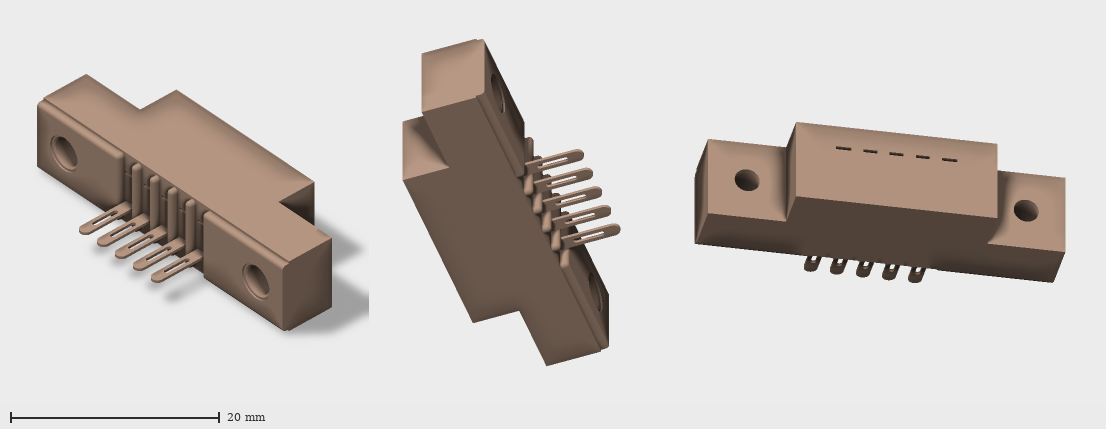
import cadquery as cq


length = 34.92
height = 8.38
flange_depth = 5.55
nose_length = 19.65
nose_depth = 4.7
housing_depth = flange_depth + nose_depth

raised_depth = 0.85
raised_height = 7.9
pad_length = 11.52
pad_round = 0.42
rib_width = 0.8
rib_radius = rib_width / 2

terminal_count = 5
terminal_pitch = 2.55
terminal_width = 1.3
terminal_thickness = 0.3
terminal_embedment = flange_depth
slit_width = 1.35
row_height = 1.78
terminal_reach = 6.43
eye_width = 0.52
eye_length = 3.18
eye_start = 1.68

mount_spacing = 27.27
insert_diameter = 3.9
insert_recess = 0.2
lead_in_diameter = 3.45
step_diameter = 3.15
bore_diameter = 2.45
step_depth = 1.5

pad_face = -raised_depth
insert_face = pad_face + insert_recess
step_face = insert_face + step_depth
terminal_places = [(i - (terminal_count - 1) / 2) * terminal_pitch for i in range(terminal_count)]
rib_places = [(left + right) / 2 for left, right in zip(terminal_places, terminal_places[1:])]
mount_places = [-mount_spacing / 2, mount_spacing / 2]


def block(x_size, y_size, z_size, x_center, y_start, z_center):
    """Box centred in X and Z that grows towards +Y from y_start."""
    center = (x_center, y_start + y_size / 2, z_center)
    return cq.Workplane("XY").box(x_size, y_size, z_size).translate(center)


def make_pad(side):
    """Mounting pad flush with one end of the housing, rounded elsewhere; side is -1 or +1."""
    inner_face = "<X" if side > 0 else ">X"
    pad = block(pad_length, raised_depth, raised_height, side * (length - pad_length) / 2, pad_face, 0)
    return pad.edges(f"(<Y and (<Z or >Z)) or {inner_face}").edges("not >Y").fillet(pad_round)


def make_rib(x):
    """Upright rib with a fully rounded crest and ball ends."""
    crest_depth = raised_depth - rib_radius
    ball_height = raised_height / 2 - rib_radius
    rib = cq.Workplane("XZ").slot2D(raised_height, rib_width, 90).extrude(crest_depth)
    crest = cq.Workplane("XY").circle(rib_radius).extrude(ball_height, both=True)
    for z in (-ball_height, ball_height):
        crest = crest.union(cq.Workplane("XY").sphere(rib_radius).translate((0, 0, z)))
    rib = rib.union(crest.translate((0, -crest_depth, 0)))
    return rib.translate((x, 0, 0))


def make_slit_row(z, depth):
    """Row of terminal slits; the end slits widen outwards to meet the pads."""
    pad_edge = length / 2 - pad_length
    row = cq.Workplane("XY")
    for x in terminal_places:
        left = x - slit_width / 2
        right = x + slit_width / 2
        if x == terminal_places[0]:
            left = -pad_edge
        if x == terminal_places[-1]:
            right = pad_edge
        row = row.add(block(right - left, depth, terminal_thickness, (left + right) / 2, 0, z))
    return row.combine()


def make_housing():
    """Stepped block with pads, ribs, terminal slits and mounting holes."""
    body = block(length, flange_depth, height, 0, 0, 0)
    body = body.union(block(nose_length, housing_depth, height, 0, 0, 0))
    for side in (-1, 1):
        body = body.union(make_pad(side))
    for x in rib_places:
        body = body.union(make_rib(x))
    body = body.cut(make_slit_row(row_height, housing_depth))
    body = body.cut(make_slit_row(-row_height, terminal_embedment))
    for x in mount_places:
        hole = cq.Workplane("XZ", origin=(x, pad_face, 0)).circle(insert_diameter / 2)
        body = body.cut(hole.extrude(-(flange_depth + raised_depth)))
    return body


def make_terminal(x):
    """Flat terminal, as thick as its slit, that ends in a round tip with a solder eye."""
    half_width = terminal_width / 2
    tip_start = half_width - terminal_reach
    blade = (
        cq.Workplane("XY", origin=(x, 0, -row_height))
        .moveTo(half_width, terminal_embedment)
        .lineTo(half_width, tip_start)
        .threePointArc((0, -terminal_reach), (-half_width, tip_start))
        .lineTo(-half_width, terminal_embedment)
        .close()
        .extrude(terminal_thickness / 2, both=True)
    )
    eye = (
        cq.Workplane("XY")
        .center(x, -eye_start - eye_length / 2)
        .slot2D(eye_length, eye_width, 90)
        .extrude(height, both=True)
    )
    return blade.cut(eye)


def make_insert(x):
    """Sleeve set below the pad face: 45 degree lead-in, wide mouth, then a 45 degree step to the bore."""
    bore_radius = bore_diameter / 2
    step_radius = step_diameter / 2
    lead_in_radius = lead_in_diameter / 2
    insert = (
        cq.Workplane("XY")
        .moveTo(insert_diameter / 2, insert_face)
        .lineTo(insert_diameter / 2, flange_depth)
        .lineTo(bore_radius, flange_depth)
        .lineTo(bore_radius, step_face + step_radius - bore_radius)
        .lineTo(step_radius, step_face)
        .lineTo(step_radius, insert_face + lead_in_radius - step_radius)
        .lineTo(lead_in_radius, insert_face)
        .close()
        .revolve(360, (0, 0), (0, 1))
    )
    return insert.translate((x, 0, 0))


housing = make_housing()
terminals = [make_terminal(x) for x in terminal_places]
inserts = [make_insert(x) for x in mount_places]

result = cq.Compound.makeCompound(
    [housing.val()] + [terminal.val() for terminal in terminals] + [insert.val() for insert in inserts]
)